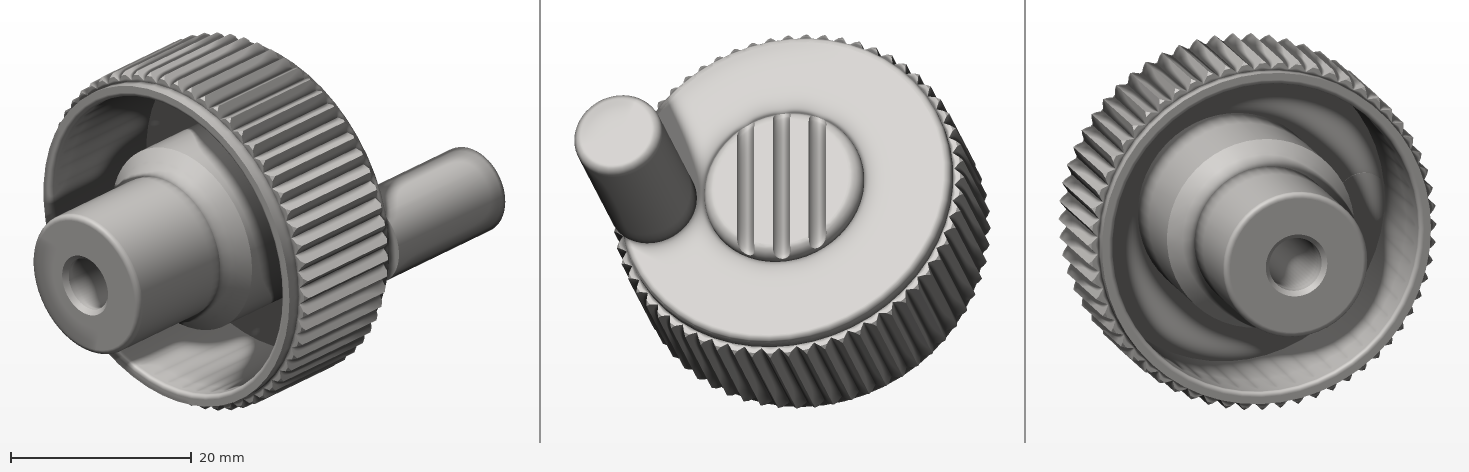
import cadquery as cq
import math

rim_front = 13.0
teeth_front = 14.5
teeth_back = 27.95
cavity_floor = 28.1
disc_back = 29.45
dome_back = 31.0
handle_start = 29.35
handle_end = 47.0

hub_radius = 16.5 / 2
collar_radius = 21.45 / 2
collar_cone_length = collar_radius - hub_radius
hub_fillet = 0.6
bore_radius = 6.0 / 2
bore_chamfer = 0.5
bore_depth = 20.0

rim_radius = 37.7 / 2
rim_back_fillet = 0.75
cavity_radius = 35.05 / 2
cavity_mouth_fillet = 0.5

tooth_count = 60
tooth_tip_radius = 40.0 / 2
tooth_root_radius = 19.0
tooth_end_chamfer = 0.38

dome_radius = 18.15 / 2
dome_fillet = 1.4
groove_radius = 1.0
groove_pitch = 4.1
groove_count = 3

handle_radius = 10.0 / 2
handle_offset = tooth_tip_radius - handle_radius
handle_fillet = 1.0
pin_radius = 6.0 / 2
pin_height = 0.1


def disc(radius, y_start, y_end, x=0.0):
    """Cylinder parallel to Y between two positions."""
    plane = cq.Workplane("XZ", origin=(x, y_start, 0))
    return plane.circle(radius).extrude(y_start - y_end)


def turned(outline):
    """Solid of revolution about Y from (radius, y) corners that start and end on the axis."""
    return cq.Workplane("XY").polyline(outline).close().revolve(360, (0, 0, 0), (0, 1, 0))


def make_toothed_band():
    points = []
    for i in range(2 * tooth_count):
        radius = tooth_root_radius if i % 2 else tooth_tip_radius
        angle = math.pi * i / tooth_count
        points.append((radius * math.cos(angle), radius * math.sin(angle)))
    plane = cq.Workplane("XZ", origin=(0, teeth_front, 0))
    band = plane.polyline(points).close().extrude(teeth_front - teeth_back)
    envelope = disc(tooth_tip_radius, teeth_front, teeth_back).edges().chamfer(tooth_end_chamfer)
    return band.intersect(envelope)


def make_wheel():
    rim = disc(rim_radius, rim_front, disc_back).faces(">Y").edges().fillet(rim_back_fillet)
    cavity = disc(cavity_radius, rim_front, cavity_floor)
    wheel = rim.union(make_toothed_band()).cut(cavity)
    inner_edge = cq.selectors.RadiusNthSelector(0)
    return wheel.faces("<Y").edges(inner_edge).fillet(cavity_mouth_fillet)


def make_hub():
    hub = turned([
        (0, 0),
        (hub_radius, 0),
        (hub_radius, rim_front),
        (collar_radius, rim_front + collar_cone_length),
        (collar_radius, disc_back),
        (0, disc_back),
    ])
    return hub.faces("<Y").edges().fillet(hub_fillet)


def make_dome():
    dome = disc(dome_radius, cavity_floor, dome_back).faces(">Y").edges().fillet(dome_fillet)
    for i in range(groove_count):
        x = (i - (groove_count - 1) / 2) * groove_pitch
        plane = cq.Workplane("XY", origin=(x, dome_back, -dome_radius))
        dome = dome.cut(plane.circle(groove_radius).extrude(2 * dome_radius))
    return dome


def make_handle():
    handle = disc(handle_radius, handle_start, handle_end, handle_offset)
    handle = handle.faces(">Y").edges().fillet(handle_fillet)
    pin = disc(pin_radius, cavity_floor - pin_height, handle_start, handle_offset)
    return handle.union(pin)


def make_bore():
    return turned([
        (0, 0),
        (bore_radius + bore_chamfer, 0),
        (bore_radius, bore_chamfer),
        (bore_radius, bore_depth),
        (0, bore_depth),
    ])


result = (
    make_wheel()
    .union(make_hub())
    .union(make_dome())
    .union(make_handle())
    .cut(make_bore())
)